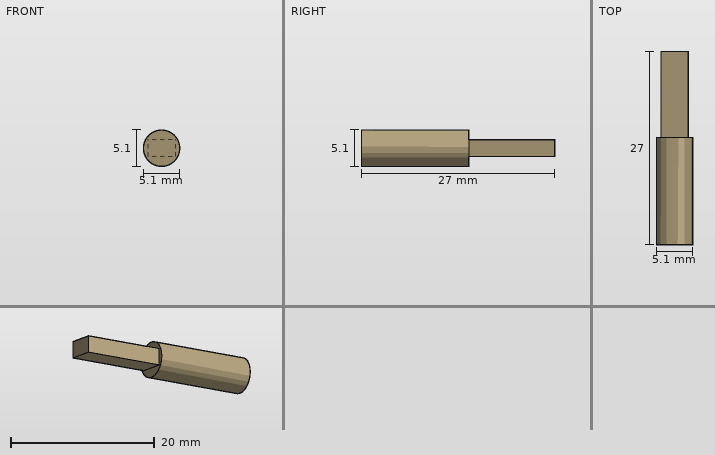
import cadquery as cq

total_length = 27.0

body_diameter = 5.1
body_length = 15.0

tang_width = 3.83
tang_thickness = 2.38
tang_length = total_length - body_length

shoulder = cq.Workplane("XZ")
body = shoulder.circle(body_diameter / 2).extrude(body_length)
tang = shoulder.rect(tang_width, tang_thickness).extrude(-tang_length)

result = body.union(tang)